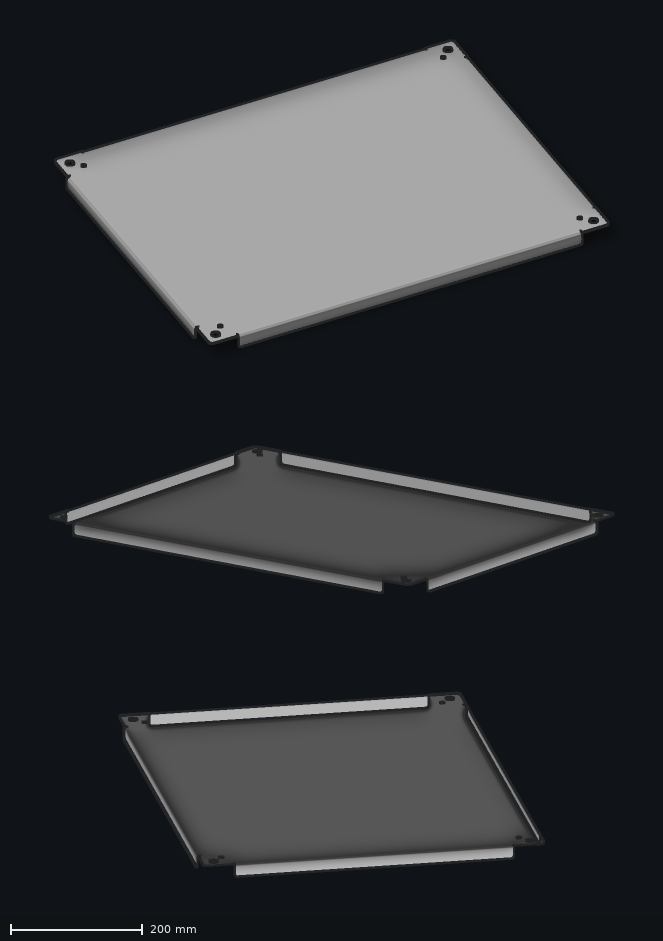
import cadquery as cq

length_x = 531.5
length_y = 684.0
height = 22.0

sheet = 2.0
bend_radius = 6.0
flange_corner_radius = 4.0

plate_inset = 2.0
plate_corner_radius = 7.0

flange_end_gap = 50.0

mount_hole_diameter = 13.0
mount_hole_x = 245.0
mount_hole_y = 321.5
pilot_hole_diameter = 7.0
pilot_hole_x = 230.0
pilot_hole_y = 306.0


def flat_plate():
    """Flat sheet with rounded corners, its top face at Z = 0."""
    plate = (
        cq.Workplane("XY")
        .workplane(offset=-sheet)
        .rect(length_x - 2 * plate_inset, length_y - 2 * plate_inset)
        .extrude(sheet)
    )
    return plate.edges("|Z").fillet(plate_corner_radius)


def bend_clearance(reach, width):
    """Block removing the flat plate edge where a flange bends down on the +X side."""
    block = cq.Workplane("XY").box(bend_radius, width, 2 * height)
    return block.translate((reach - bend_radius / 2, 0, 0))


def flange(reach, width):
    """Bent flange on the +X side: quarter-round bend and a downward wall."""
    bent_strip = (
        cq.Workplane("XZ", origin=(0, width / 2, 0))
        .moveTo(reach - bend_radius, 0)
        .radiusArc((reach, -bend_radius), bend_radius)
        .lineTo(reach, -height)
        .lineTo(reach - sheet, -height)
        .lineTo(reach - sheet, -bend_radius)
        .radiusArc((reach - bend_radius, -sheet), -(bend_radius - sheet))
        .close()
        .extrude(width)
    )
    return bent_strip.faces("<Z").edges("|X").fillet(flange_corner_radius)


def holes(diameter, x, y):
    """Four through holes, mirrored about both centre lines."""
    points = [(sx * x, sy * y) for sx in (-1, 1) for sy in (-1, 1)]
    return cq.Workplane("XY").pushPoints(points).circle(diameter / 2).extrude(-2 * sheet)


result = flat_plate()

sides = [
    (0, length_x / 2, length_y - 2 * flange_end_gap),
    (90, length_y / 2, length_x - 2 * flange_end_gap),
    (180, length_x / 2, length_y - 2 * flange_end_gap),
    (270, length_y / 2, length_x - 2 * flange_end_gap),
]
axis_start = (0, 0, 0)
axis_end = (0, 0, 1)
for angle, reach, width in sides:
    result = result.cut(bend_clearance(reach, width).rotate(axis_start, axis_end, angle))
    result = result.union(flange(reach, width).rotate(axis_start, axis_end, angle))

result = result.cut(holes(mount_hole_diameter, mount_hole_x, mount_hole_y))
result = result.cut(holes(pilot_hole_diameter, pilot_hole_x, pilot_hole_y))